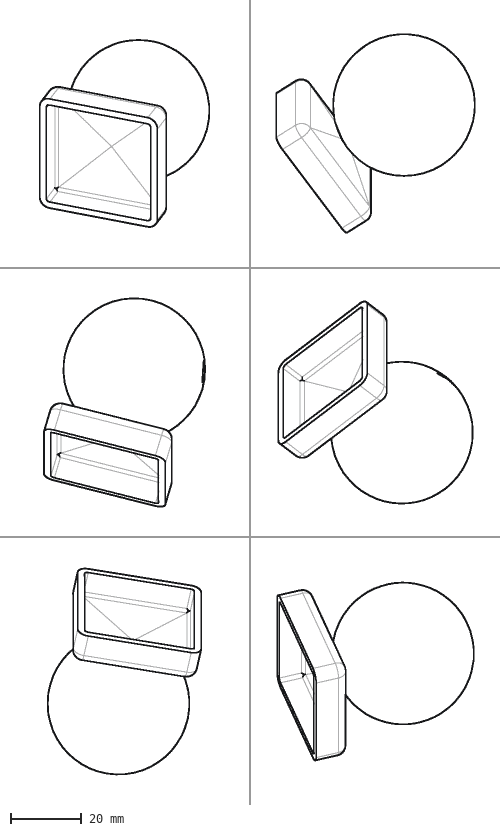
import cadquery as cq
import math

total_length = 51.5
ball_diameter = 40.0
cap_width = 35.5
cap_side_height = 9.55
cap_edge_radius = 3.0
wall = 2.0
roof_angle = 10.0
selection_margin = 0.05

ball_radius = ball_diameter / 2
ball_center_y = total_length - ball_radius
roof_slope = math.tan(math.radians(roof_angle))
roof_base_width = cap_width - 2 * cap_edge_radius
outer_apex_y = cap_side_height + roof_base_width / 2 * roof_slope
cavity_width = cap_width - 2 * wall
cavity_edge_radius = cap_edge_radius - wall
inner_apex_y = outer_apex_y - wall / math.cos(math.radians(roof_angle))
cavity_side_height = inner_apex_y - cavity_width / 2 * roof_slope


def square_block(width, height):
    """Square block standing on the rim plane Y = 0 and growing along +Y."""
    return cq.Workplane("XZ").rect(width, width).extrude(-height)


def roof(base_width, base_y, apex_y):
    """Four-sided pyramid on a square base, pointing along +Y."""
    half = base_width / 2
    corners = [
        cq.Vector(x, base_y, z)
        for x, z in ((-half, -half), (half, -half), (half, half), (-half, half))
    ]
    apex = cq.Vector(0, apex_y, 0)
    faces = [cq.Face.makeFromWires(cq.Wire.makePolygon(corners, close=True))]
    for start, end in zip(corners, corners[1:] + corners[:1]):
        faces.append(cq.Face.makeFromWires(cq.Wire.makePolygon([start, end, apex], close=True)))
    return cq.Workplane(obj=cq.Solid.makeSolid(cq.Shell.makeShell(faces)))


def outer_cap():
    """Block rounded along its sides and back edges, topped by a shallow pyramid."""
    block = square_block(cap_width, cap_side_height)
    rounded_block = block.edges("|Y or >Y").fillet(cap_edge_radius)
    return rounded_block.union(roof(roof_base_width, cap_side_height, outer_apex_y))


def cavity():
    """Hollow of the cap: walls and roof of even thickness, rounded where they meet."""
    block = square_block(cavity_width, cavity_side_height)
    hollow = block.union(roof(cavity_width, cavity_side_height, inner_apex_y))
    roof_foot = cq.selectors.BoxSelector(
        (-cavity_width, cavity_side_height - selection_margin, -cavity_width),
        (cavity_width, cavity_side_height + selection_margin, cavity_width),
    )
    mitred_hollow = hollow.edges(roof_foot).fillet(cavity_edge_radius)
    rounded_prism = square_block(cavity_width, outer_apex_y).edges("|Y").fillet(cavity_edge_radius)
    return mitred_hollow.intersect(rounded_prism)


ball = cq.Workplane("XY").sphere(ball_radius).translate((0, ball_center_y, 0))

result = outer_cap().union(ball).cut(cavity())